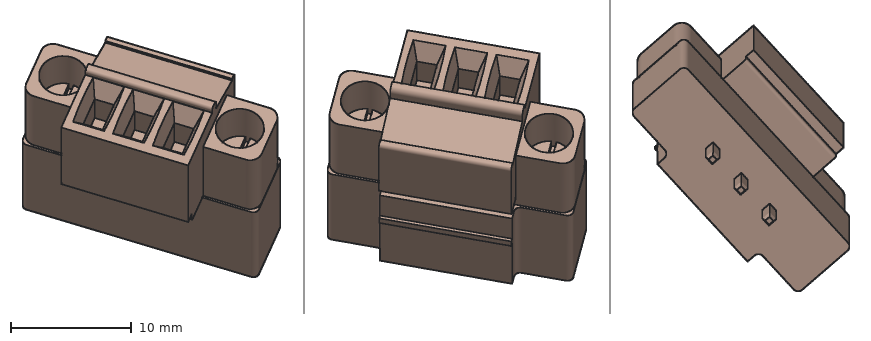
import cadquery as cq


pin_taper_top = 0.66
header_bottom = 3.43
header_top = 12.57
plug_step = 13.5
ear_top = 19.47
latch_low = 19.87
latch_lip_top = 20.1
slope_top = 20.88
plug_top = 21.48
ridge_top = 22.1

pole_count = 3
pole_pitch = 3.51
pole_xs = [(i - (pole_count - 1) / 2) * pole_pitch for i in range(pole_count)]

pin_size = 0.82
pin_tip_size = 0.49

header_length = 20.8
header_depth = 6.01
header_fillet = 0.5
header_back = 4.27
housing_length = 11.18
rib_back = 4.55
rib_bottom = 9.1
rib_top = 9.75

plug_length = housing_length
plug_front = -6.39
plug_foot_front = -5.55
plug_back = 4.7
ear_length = 20.75
ear_depth = 5.64
ear_fillet = 1.04
lip_front = 4.09
ridge_back = 0.3
ridge_front = -0.66
ridge_back_radius = 0.5
ridge_front_radius = 0.29
lip_fillet = 0.33
plug_back_fillet = 0.45
foot_fillet = 0.27

entry_center_y = -3.1
entry_mouth_width = 2.75
entry_mouth_depth = 4.82
entry_mouth_bulge = 0.09
entry_throat_width = 1.7
entry_throat_depth = 2.7
entry_taper_height = 1.44
entry_throat_height = 2.65

screw_x = 7.78
screw_hole_diameter = 4.0
screw_head_diameter = 3.9
screw_head_top = 15.7
screw_slot_width = 0.42
screw_slot_depth = 0.66


def block(length, y_front, y_back, z_bottom, z_top):
    """Box centred on x = 0 between the given Y and Z limits."""
    box = cq.Workplane("XY").box(length, y_back - y_front, z_top - z_bottom, centered=(True, False, False))
    return box.translate((0, y_front, z_bottom))


def make_header():
    half_depth = header_depth / 2
    base = block(header_length, -half_depth, half_depth, header_bottom, header_top)
    base = base.edges("|Z").fillet(header_fillet)
    back = block(housing_length, 0, header_back, header_bottom, header_top)
    header = base.union(back)
    for inner_x in (-housing_length / 2, housing_length / 2):
        inner_corner = (inner_x, half_depth, (header_bottom + header_top) / 2)
        header = header.edges(cq.selectors.NearestToPointSelector(inner_corner)).fillet(header_fillet)
    return header.union(block(housing_length, 0, rib_back, rib_bottom, rib_top))


def make_pin(x):
    shank_height = header_bottom - pin_taper_top
    shank = (
        cq.Workplane("XY", origin=(x, 0, pin_taper_top))
        .rect(pin_size, pin_size)
        .extrude(shank_height)
    )
    tip = (
        cq.Workplane("XY", origin=(x, 0, 0))
        .rect(pin_tip_size, pin_tip_size)
        .workplane(offset=pin_taper_top)
        .rect(pin_size, pin_size)
        .loft()
    )
    return shank.union(tip)


def make_plug_body():
    profile = [
        (plug_foot_front, header_top),
        (ear_depth / 2, header_top),
        (ear_depth / 2, plug_step),
        (plug_back, plug_step),
        (plug_back, latch_lip_top),
        (lip_front, latch_lip_top),
        (lip_front, latch_low),
        (ridge_back, slope_top),
        (ridge_back, ridge_top),
        (ridge_front, ridge_top),
        (ridge_front, plug_top),
        (plug_front, plug_top),
        (plug_front, plug_step),
        (plug_foot_front, plug_step),
    ]
    rounded_corners = [
        (plug_foot_front, header_top, foot_fillet),
        (plug_back, plug_step, plug_back_fillet),
        (plug_back, latch_lip_top, lip_fillet),
        (ridge_back, ridge_top, ridge_back_radius),
        (ridge_front, ridge_top, ridge_front_radius),
    ]
    body = cq.Workplane("YZ").polyline(profile).close().extrude(plug_length / 2, both=True)
    for y, z, radius in rounded_corners:
        body = body.edges(cq.selectors.NearestToPointSelector((0, y, z))).fillet(radius)
    return body


def make_wire_entry(x):
    """Funnel with bowed side walls above a straight rectangular throat."""
    half_width = entry_mouth_width / 2
    half_depth = entry_mouth_depth / 2
    bow = half_width + entry_mouth_bulge
    throat_top = plug_top - entry_taper_height
    mouth = (
        cq.Workplane("XY", origin=(x, entry_center_y, plug_top))
        .moveTo(-half_width, -half_depth)
        .lineTo(half_width, -half_depth)
        .threePointArc((bow, 0), (half_width, half_depth))
        .lineTo(-half_width, half_depth)
        .threePointArc((-bow, 0), (-half_width, -half_depth))
        .close()
    )
    throat = (
        cq.Workplane("XY", origin=(x, entry_center_y, throat_top))
        .rect(entry_throat_width, entry_throat_depth)
    )
    funnel = cq.Solid.makeLoft([throat.val(), mouth.val()], True)
    return throat.extrude(-entry_throat_height).union(cq.Workplane(funnel))


def make_ears():
    ears = block(ear_length, -ear_depth / 2, ear_depth / 2, header_top, ear_top)
    return ears.edges("|Z").fillet(ear_fillet)


def make_screw_hole(x):
    """Blind hole in an ear, less the slotted screw head standing on its floor."""
    floor = cq.Workplane("XY", origin=(x, 0, plug_step))
    hole = floor.circle(screw_hole_diameter / 2).extrude(ear_top - plug_step)
    head = floor.circle(screw_head_diameter / 2).extrude(screw_head_top - plug_step)
    head_radius = screw_head_diameter / 2
    slot_floor = screw_head_top - screw_slot_depth
    slot = block(screw_slot_width, -head_radius, head_radius, slot_floor, screw_head_top).translate((x, 0, 0))
    return hole.cut(head.cut(slot))


result = make_header().union(make_ears()).union(make_plug_body())
for pole_x in pole_xs:
    result = result.union(make_pin(pole_x)).cut(make_wire_entry(pole_x))
for side in (-1, 1):
    result = result.cut(make_screw_hole(side * screw_x))